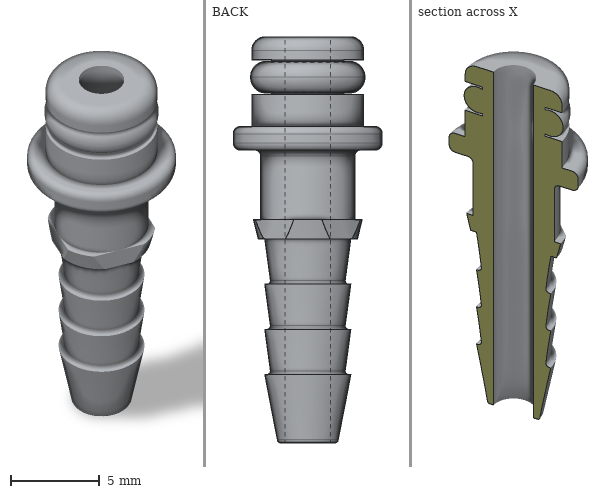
import cadquery as cq
import math

total_length = 22.85
bore_radius = 1.28

plug_radius = 3.15
cap_round = 0.78
cap_bottom = 21.55
groove_bottom = 19.61
groove_radius = 2.03
ring_outer_radius = 3.22
ring_section_radius = 0.9

flange_diameter = 8.4
flange_radius = flange_diameter / 2
flange_top = 17.8
flange_bottom = 16.48
flange_round = 0.41
neck_radius = 2.65
neck_fillet = 0.32

collar_top = 12.57
collar_bottom = 11.48
collar_top_radius = 3.06
collar_bottom_radius = 2.8

barb_radius = 2.42
barb_root_radius = 2.1
barb_root_fillet = 0.2
lowest_barb_edge = 3.85
barb_count = 3
barb_pitch = (collar_bottom - lowest_barb_edge) / barb_count
tip_radius = 1.71
tip_round = 0.18


def cylinder(radius, bottom, top):
    return cq.Workplane("XY").workplane(offset=bottom).circle(radius).extrude(top - bottom)


def cone(bottom_radius, top_radius, bottom, top):
    outline = [(0, bottom), (bottom_radius, bottom), (top_radius, top), (0, top)]
    return cq.Workplane("XZ").polyline(outline).close().revolve(360, (0, 0), (0, 1))


def make_plug():
    cap = cylinder(plug_radius, cap_bottom, total_length).faces(">Z").edges().fillet(cap_round)
    core = cylinder(groove_radius, groove_bottom, cap_bottom)
    shoulder = cylinder(plug_radius, flange_top, groove_bottom)
    ring_center = (ring_outer_radius - ring_section_radius, (cap_bottom + groove_bottom) / 2)
    ring = (
        cq.Workplane("XZ")
        .center(*ring_center)
        .circle(ring_section_radius)
        .revolve(360, (-ring_center[0], 0), (-ring_center[0], 1))
    )
    return cap.union(core).union(shoulder).union(ring)


def make_flange_and_neck():
    flange = cylinder(flange_radius, flange_bottom, flange_top).edges().fillet(flange_round)
    neck = cylinder(neck_radius, collar_top, flange_bottom)
    fillet_ring = (
        cq.Workplane("XZ")
        .moveTo(0, flange_bottom - neck_fillet)
        .lineTo(neck_radius, flange_bottom - neck_fillet)
        .radiusArc((neck_radius + neck_fillet, flange_bottom), neck_fillet)
        .lineTo(0, flange_bottom)
        .close()
        .revolve(360, (0, 0), (0, 1))
    )
    return flange.union(neck).union(fillet_ring)


def make_collar():
    height = collar_top - collar_bottom
    flats = (
        cq.Workplane("XY")
        .workplane(offset=collar_bottom)
        .rect(2 * neck_radius, 2 * neck_radius)
        .extrude(height)
        .rotate((0, 0, 0), (0, 0, 1), 45)
    )
    return cone(collar_bottom_radius, collar_top_radius, collar_bottom, collar_top).intersect(flats)


def make_barbed_stem():
    diagonal = barb_root_fillet * math.sqrt(0.5)
    profile = cq.Workplane("XZ").moveTo(0, 0).lineTo(tip_radius - tip_round, 0)
    profile = profile.threePointArc(
        (tip_radius - tip_round + tip_round * math.sqrt(0.5), tip_round * (1 - math.sqrt(0.5))),
        (tip_radius, tip_round),
    )
    for barb in range(barb_count):
        edge = lowest_barb_edge + barb * barb_pitch
        profile = (
            profile.lineTo(barb_radius, edge)
            .lineTo(barb_root_radius + barb_root_fillet, edge)
            .threePointArc(
                (barb_root_radius + barb_root_fillet - diagonal, edge + barb_root_fillet - diagonal),
                (barb_root_radius, edge + barb_root_fillet),
            )
        )
    profile = profile.lineTo(barb_radius, collar_bottom).lineTo(0, collar_bottom).close()
    return profile.revolve(360, (0, 0), (0, 1))


body = make_plug().union(make_flange_and_neck()).union(make_collar()).union(make_barbed_stem())
result = body.cut(cylinder(bore_radius, 0, total_length))